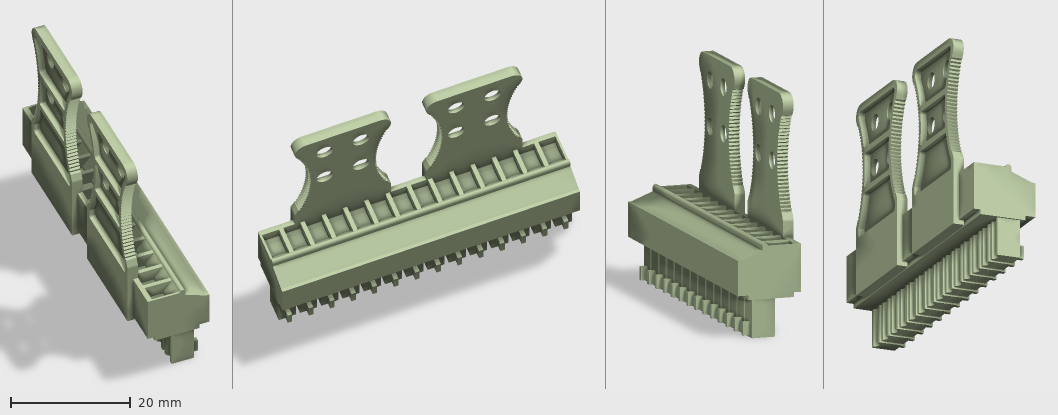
import cadquery as cq
import math


POLES = 14
PITCH = 3.81
LENGTH = POLES * PITCH
HEIGHT = 39.75
DEPTH = 12.2

PLATE_WIDTH = 17.25
PLATE_HALF = PLATE_WIDTH / 2
PLATE_THICKNESS = 1.9
PLATE_INSET = 6.27
PLATE_CENTERS = (PLATE_INSET + PLATE_HALF, LENGTH - PLATE_INSET - PLATE_HALF)
TOP_CORNER_RADIUS = 2.0
SHOULDER_RADIUS = 0.8

WAIST_HALF = 6.0
WAIST_RADIUS = 18.2
WAIST_X = WAIST_HALF + WAIST_RADIUS
TOP_CORNER_X = PLATE_HALF - TOP_CORNER_RADIUS
TOP_CORNER_Z = HEIGHT - TOP_CORNER_RADIUS
WAIST_Z = TOP_CORNER_Z - math.sqrt(
    (WAIST_RADIUS + TOP_CORNER_RADIUS) ** 2 - (WAIST_X - TOP_CORNER_X) ** 2
)
SHOULDER_X = PLATE_HALF - SHOULDER_RADIUS
SHOULDER_Z = WAIST_Z - math.sqrt(
    (WAIST_RADIUS + SHOULDER_RADIUS) ** 2 - (WAIST_X - SHOULDER_X) ** 2
)

NOTCHES = 27
NOTCH_ANGLE = 2.0
NOTCH_DEPTH = 0.33

POCKET_DEPTH = 1.1
POCKET_RIM = 1.0
TOP_POCKET_RIM = 1.15
POCKETS = (
    (16.5, 23.6, PLATE_HALF - POCKET_RIM, 0.5),
    (24.55, 30.5, PLATE_HALF, 0.4),
    (31.5, 38.4, PLATE_HALF - TOP_POCKET_RIM, 0.7),
)

HOLE_DIAMETER = 2.95
HOLE_SPACING = 6.5
HOLE_HEIGHTS = (27.63, 35.55)

BODY_BOTTOM = 6.6
LEDGE_Z = 7.4
BODY_TOP = 15.6
FRONT_Y = 1.0
FOOT_FRONT_Y = 2.25
FOOT_BACK_Y = 10.35
BACK_TOP_Z = 13.4
BACK_LAND = 0.6
BEAD_FRONT_Y = 6.86
BEAD_BACK_Y = 7.82
BEAD_RADIUS = (BEAD_BACK_Y - BEAD_FRONT_Y) / 2
SLOPE_END_Z = 14.85

CAVITY_WIDTH = 3.05
CAVITY_FLOOR_Z = 13.3
CAVITY_RAMP_Y = 5.25
CAVITY_RAMP_Z = 13.7
CAVITY_LIP_Y = 2.7
CAVITY_LIP_RISE = 0.3

PRONG_WIDTH = 3.05
PRONG_FRONT_Y = 5.5
PRONG_BACK_Y = 9.55
GROOVE_WIDTH = 1.77
GROOVE_DEPTH = 0.6
LATCH_WIDTH = 0.8
LATCH_BACK_Y = 10.75
LATCH_BOTTOM = 0.3
LATCH_TOP = 2.6


def waist_point(radius, angle, side):
    """Point at a radius and an elevation angle about the waist center of one side (+1 or -1)."""
    turn = math.radians(angle)
    return side * (WAIST_X - radius * math.cos(turn)), WAIST_Z + radius * math.sin(turn)


def waist_angle(x, z):
    """Elevation angle of a point on the right side about the waist center."""
    return math.degrees(math.atan2(z - WAIST_Z, WAIST_X - x))


def arc_middle(center_x, center_z, radius, start, end):
    """Point halfway along an arc, between two angles measured from +X."""
    turn = math.radians((start + end) / 2)
    return center_x + radius * math.cos(turn), center_z + radius * math.sin(turn)


def plate_blank():
    """Plate outline with serrated waist, centered on X = 0."""
    top_angle = waist_angle(TOP_CORNER_X, TOP_CORNER_Z)
    shoulder_angle = waist_angle(SHOULDER_X, SHOULDER_Z)
    last_tip = NOTCHES * NOTCH_ANGLE / 2
    shoulder_mid = arc_middle(SHOULDER_X, SHOULDER_Z, SHOULDER_RADIUS, 0, -shoulder_angle)
    corner_mid = arc_middle(TOP_CORNER_X, TOP_CORNER_Z, TOP_CORNER_RADIUS, -top_angle, 90)

    outline = cq.Workplane("XZ").moveTo(-PLATE_HALF, BODY_BOTTOM).lineTo(PLATE_HALF, BODY_BOTTOM)

    outline = (
        outline.lineTo(PLATE_HALF, SHOULDER_Z)
        .threePointArc(shoulder_mid, waist_point(WAIST_RADIUS, shoulder_angle, 1))
        .threePointArc(
            waist_point(WAIST_RADIUS, (shoulder_angle - last_tip) / 2, 1),
            waist_point(WAIST_RADIUS, -last_tip, 1),
        )
    )
    for notch in range(NOTCHES):
        root_angle = -last_tip + (notch + 0.5) * NOTCH_ANGLE
        tip_angle = root_angle + NOTCH_ANGLE / 2
        outline = outline.lineTo(*waist_point(WAIST_RADIUS + NOTCH_DEPTH, root_angle, 1))
        outline = outline.lineTo(*waist_point(WAIST_RADIUS, tip_angle, 1))
    outline = (
        outline.threePointArc(
            waist_point(WAIST_RADIUS, (last_tip + top_angle) / 2, 1),
            waist_point(WAIST_RADIUS, top_angle, 1),
        )
        .threePointArc(corner_mid, (TOP_CORNER_X, HEIGHT))
    )

    outline = (
        outline.lineTo(-TOP_CORNER_X, HEIGHT)
        .threePointArc((-corner_mid[0], corner_mid[1]), waist_point(WAIST_RADIUS, top_angle, -1))
        .threePointArc(
            waist_point(WAIST_RADIUS, (last_tip + top_angle) / 2, -1),
            waist_point(WAIST_RADIUS, last_tip, -1),
        )
    )
    for notch in range(NOTCHES):
        root_angle = last_tip - (notch + 0.5) * NOTCH_ANGLE
        tip_angle = root_angle - NOTCH_ANGLE / 2
        outline = outline.lineTo(*waist_point(WAIST_RADIUS + NOTCH_DEPTH, root_angle, -1))
        outline = outline.lineTo(*waist_point(WAIST_RADIUS, tip_angle, -1))
    outline = (
        outline.threePointArc(
            waist_point(WAIST_RADIUS, (shoulder_angle - last_tip) / 2, -1),
            waist_point(WAIST_RADIUS, shoulder_angle, -1),
        )
        .threePointArc((-shoulder_mid[0], shoulder_mid[1]), (-PLATE_HALF, SHOULDER_Z))
        .close()
    )
    return outline.extrude(-PLATE_THICKNESS)


def plate_pocket(bottom, top, half_width, corner_radius):
    """Pocket volume whose sides follow the waist at a constant rim width."""
    pocket = cq.Workplane("XY").box(
        2 * half_width, POCKET_DEPTH, top - bottom, centered=(True, False, False)
    ).translate((0, 0, bottom))
    waists = (
        cq.Workplane("XZ")
        .pushPoints([(-WAIST_X, WAIST_Z), (WAIST_X, WAIST_Z)])
        .circle(WAIST_RADIUS + POCKET_RIM)
        .extrude(-POCKET_DEPTH)
    )
    return pocket.cut(waists).edges("|Y").fillet(corner_radius)


def make_grip_plate(center_x):
    """Grip plate with front pockets and four through holes."""
    plate = plate_blank()
    for pocket in POCKETS:
        plate = plate.cut(plate_pocket(*pocket))
    hole_points = [
        (side * HOLE_SPACING / 2, height) for side in (-1, 1) for height in HOLE_HEIGHTS
    ]
    holes = (
        cq.Workplane("XZ")
        .pushPoints(hole_points)
        .circle(HOLE_DIAMETER / 2)
        .extrude(-PLATE_THICKNESS)
    )
    return plate.cut(holes).translate((center_x, 0, 0))


def housing_body():
    """Long housing profile with stepped foot, sloped back and rounded bead."""
    return (
        cq.Workplane("YZ")
        .moveTo(FRONT_Y, LEDGE_Z)
        .lineTo(FOOT_FRONT_Y, LEDGE_Z)
        .lineTo(FOOT_FRONT_Y, BODY_BOTTOM)
        .lineTo(FOOT_BACK_Y, BODY_BOTTOM)
        .lineTo(FOOT_BACK_Y, LEDGE_Z)
        .lineTo(DEPTH, LEDGE_Z)
        .lineTo(DEPTH, BACK_TOP_Z)
        .lineTo(DEPTH - BACK_LAND, BACK_TOP_Z)
        .lineTo(BEAD_BACK_Y, SLOPE_END_Z)
        .lineTo(BEAD_BACK_Y, BODY_TOP)
        .threePointArc(
            (BEAD_BACK_Y - BEAD_RADIUS, BODY_TOP + BEAD_RADIUS), (BEAD_FRONT_Y, BODY_TOP)
        )
        .lineTo(FRONT_Y, BODY_TOP)
        .close()
        .extrude(LENGTH)
    )


def cavity(center_x):
    """Wire entry pocket with a steep ramp at the back and a low sloped lip at the front."""
    return (
        cq.Workplane("YZ", origin=(center_x - CAVITY_WIDTH / 2, 0, 0))
        .moveTo(PLATE_THICKNESS, BODY_TOP)
        .lineTo(PLATE_THICKNESS, CAVITY_FLOOR_Z + CAVITY_LIP_RISE)
        .lineTo(CAVITY_LIP_Y, CAVITY_FLOOR_Z)
        .lineTo(CAVITY_RAMP_Y, CAVITY_FLOOR_Z)
        .lineTo(CAVITY_RAMP_Y, CAVITY_RAMP_Z)
        .lineTo(BEAD_FRONT_Y, BODY_TOP)
        .close()
        .extrude(CAVITY_WIDTH)
    )


def prong(center_x):
    """Square prong with a round groove down its front and a narrow latch block at its back."""
    left = center_x - PRONG_WIDTH / 2
    half_groove = GROOVE_WIDTH / 2
    stem = (
        cq.Workplane("XY")
        .moveTo(left, PRONG_FRONT_Y)
        .lineTo(center_x - half_groove, PRONG_FRONT_Y)
        .threePointArc(
            (center_x, PRONG_FRONT_Y + GROOVE_DEPTH), (center_x + half_groove, PRONG_FRONT_Y)
        )
        .lineTo(left + PRONG_WIDTH, PRONG_FRONT_Y)
        .lineTo(left + PRONG_WIDTH, PRONG_BACK_Y)
        .lineTo(left, PRONG_BACK_Y)
        .close()
        .extrude(BODY_BOTTOM)
    )
    latch = cq.Workplane("XY").box(
        LATCH_WIDTH,
        LATCH_BACK_Y - PRONG_BACK_Y,
        LATCH_TOP - LATCH_BOTTOM,
        centered=(True, False, False),
    ).translate((center_x, PRONG_BACK_Y, LATCH_BOTTOM))
    return stem.union(latch)


def plate_notch(center_x):
    """Slot in the front wall that takes the back of a grip plate."""
    return cq.Workplane("XY").box(
        PLATE_WIDTH, PLATE_THICKNESS - FRONT_Y, BODY_TOP - LEDGE_Z, centered=(True, False, False)
    ).translate((center_x, FRONT_Y, LEDGE_Z))


def make_housing():
    """Housing with one prong and one cavity per pole and a slot for each grip plate."""
    housing = housing_body()
    for pole in range(POLES):
        center_x = (pole + 0.5) * PITCH
        housing = housing.union(prong(center_x)).cut(cavity(center_x))
    for center_x in PLATE_CENTERS:
        housing = housing.cut(plate_notch(center_x))
    return housing


housing = make_housing()
grip_plates = [make_grip_plate(center_x) for center_x in PLATE_CENTERS]

result = cq.Compound.makeCompound([housing.val(), *[plate.val() for plate in grip_plates]])